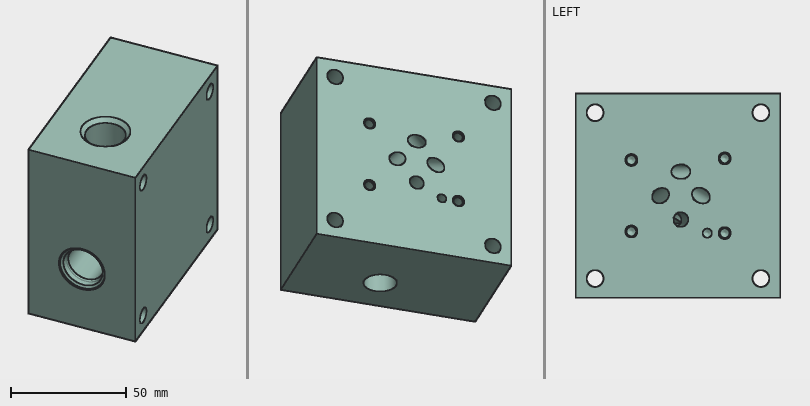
import cadquery as cq
import math

BLOCK_X, BLOCK_Y, BLOCK_Z = 50.8, 88.9, 88.9
FACE_X = -BLOCK_X / 2
FRONT_Y = -BLOCK_Y / 2
TOP_Z = BLOCK_Z / 2
BOTTOM_Z = -BLOCK_Z / 2

CORNER_PITCH = 72.0
CORNER_DIAMETER = 7.2

DRILL_TIP_ANGLE = 118.0

PATTERN_Y, PATTERN_Z = 20.3, 15.5
BOLT_SPOTS = [(0, 0), (40.5, -0.7), (40.5, 31.7), (0, 31.0)]
BOLT_DIAMETER = 4.2
BOLT_DEPTH = 12.45
BOLT_MOUTH_DIAMETER = 5.25
BOLT_CHAMFER = (BOLT_MOUTH_DIAMETER - BOLT_DIAMETER) / 2

PIN_SPOT = (33.0, 31.7)
PIN_DIAMETER = 4.0
PIN_DEPTH = 7.1

PASSAGE_DIAMETER = 6.3
PASSAGES = [
    ((21.5, 5.1), (-1, 0), 40, 31.1),
    ((12.7, 15.5), (math.sqrt(3), -1), 35, 21.3),
    ((30.2, 15.5), (math.sqrt(3), 1), 40, 31.1),
    ((21.5, 25.9), (1, 0), 9, 22.2),
]

FRONT_PORT_Z = -12.7
FRONT_PORT_STEPS = [(10.9, 0), (10.6, 0.5), (9.3, 1.25), (8.9, 3.65), (8.45, 4.6), (8.45, 35.6)]
FRONT_DRILL_DIAMETER = 13.3
FRONT_DRILL_DEPTH = 52.0

TOP_PORT_Y = -19.0
TOP_BORE_RADIUS = 8.9
TOP_MOUTH_RADIUS = 10.85
TOP_CHAMFER = TOP_MOUTH_RADIUS - TOP_BORE_RADIUS
TOP_BORE_DEPTH = 19.6
TOP_DRILL_DIAMETER = 14.2
TOP_DRILL_DEPTH = TOP_Z - FRONT_PORT_Z

BOTTOM_DRILL_X, BOTTOM_DRILL_Y = 6.3, 5.2
BOTTOM_DRILL_DIAMETER = 14.6
BOTTOM_DRILL_DEPTH = 32.45


def stepped_bore(start, direction, steps):
    """Solid of revolution running from start along direction through (radius, depth) steps."""
    axis = cq.Vector(*direction)
    side = cq.Vector(0, 0, 1) if direction[2] == 0 else cq.Vector(1, 0, 0)
    plane = cq.Plane(origin=start, xDir=side, normal=side.cross(axis))
    outline = [(0, steps[0][1])] + steps
    if steps[-1][0] > 0:
        outline.append((0, steps[-1][1]))
    return cq.Workplane(plane).polyline(outline).close().revolve(360, (0, 0), (0, 1))


def point_length(radius):
    """Axial length over which a drill point narrows by the given radius."""
    return radius / math.tan(math.radians(DRILL_TIP_ANGLE / 2))


def drill(start, direction, diameter, depth):
    """Cylinder of the given full-diameter depth with a conical drill point beyond it."""
    radius = diameter / 2
    return stepped_bore(start, direction, [(radius, 0), (radius, depth), (0, depth + point_length(radius))])


def face_point(spot):
    across, down = spot
    return (FACE_X, PATTERN_Y - across, PATTERN_Z - down)


def corner_holes():
    return (
        cq.Workplane("YZ", origin=(FACE_X, 0, 0))
        .rect(CORNER_PITCH, CORNER_PITCH, forConstruction=True)
        .vertices()
        .circle(CORNER_DIAMETER / 2)
        .extrude(BLOCK_X)
    )


def bolt_hole(spot):
    radius = BOLT_DIAMETER / 2
    steps = [
        (BOLT_MOUTH_DIAMETER / 2, 0),
        (radius, BOLT_CHAMFER),
        (radius, BOLT_DEPTH),
        (0, BOLT_DEPTH + point_length(radius)),
    ]
    return stepped_bore(face_point(spot), (1, 0, 0), steps)


def passage(spot, lean_direction, lean, length):
    """Leaning cylinder, started outside the block so that its mouth is cut completely."""
    angle = math.radians(lean)
    lean_y, lean_z = lean_direction
    sideways = math.sin(angle) / math.hypot(lean_y, lean_z)
    axis = cq.Vector(math.cos(angle), sideways * lean_y, sideways * lean_z)
    lead_in = PASSAGE_DIAMETER / 2 * math.tan(angle) + 0.9
    start = cq.Vector(*face_point(spot)) - axis * lead_in
    return cq.Workplane(cq.Solid.makeCylinder(PASSAGE_DIAMETER / 2, lead_in + length, start, axis))


def front_port():
    mouth = (0, FRONT_Y, FRONT_PORT_Z)
    inward = (0, 1, 0)
    bore = stepped_bore(mouth, inward, FRONT_PORT_STEPS)
    return bore.union(drill(mouth, inward, FRONT_DRILL_DIAMETER, FRONT_DRILL_DEPTH))


def top_port():
    drill_radius = TOP_DRILL_DIAMETER / 2
    steps = [
        (TOP_MOUTH_RADIUS, 0),
        (TOP_BORE_RADIUS, TOP_CHAMFER),
        (TOP_BORE_RADIUS, TOP_BORE_DEPTH),
        (drill_radius, TOP_BORE_DEPTH + point_length(TOP_BORE_RADIUS - drill_radius)),
        (drill_radius, TOP_DRILL_DEPTH),
    ]
    return stepped_bore((0, TOP_PORT_Y, TOP_Z), (0, 0, -1), steps)


result = cq.Workplane("XY").box(BLOCK_X, BLOCK_Y, BLOCK_Z)
result = result.cut(corner_holes())
for bolt_spot in BOLT_SPOTS:
    result = result.cut(bolt_hole(bolt_spot))
result = result.cut(drill(face_point(PIN_SPOT), (1, 0, 0), PIN_DIAMETER, PIN_DEPTH))
result = result.cut(front_port())
result = result.cut(top_port())
bottom_mouth = (BOTTOM_DRILL_X, BOTTOM_DRILL_Y, BOTTOM_Z)
result = result.cut(drill(bottom_mouth, (0, 0, 1), BOTTOM_DRILL_DIAMETER, BOTTOM_DRILL_DEPTH))
for spot, lean_direction, lean, length in PASSAGES:
    result = result.cut(passage(spot, lean_direction, lean, length))